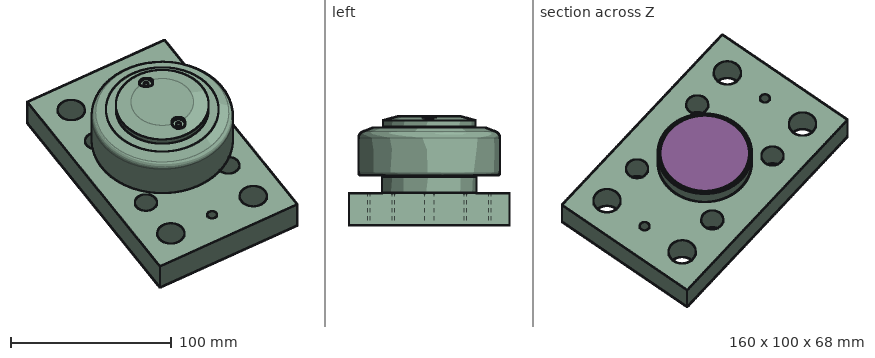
import cadquery as cq
import math

PLATE_LENGTH = 160.0
PLATE_WIDTH = 100.0
PLATE_THICKNESS = 20.0
OVERALL_HEIGHT = 68.0

CORNER_HOLE_DIAMETER = 17.0
INNER_HOLE_DIAMETER = 13.8
PIN_HOLE_DIAMETER = 6.0
CORNER_HOLE_X = 60.0
INNER_HOLE_X = CORNER_HOLE_X / 2
HOLE_ROW_Y = CORNER_HOLE_X / 2

POST_DIAMETER = 59.0
POST_CHAMFER = 0.5
NECK_DIAMETER = 55.5

ROLLER_DIAMETER = 88.5
ROLLER_BOTTOM = 31.0
ROLLER_TOP = 61.0
ROLLER_FLAT_DIAMETER = 70.2
CROWN = 0.2
SHOULDER_ANGLE = math.radians(22)
UPPER_ROUND = 4.2
LOWER_ROUND = 1.6

CAP_DIAMETER = 58.0
CAP_FLAT_DIAMETER = 39.0
CAP_RIM_TOP = 65.5
UNDERCUT_DIAMETER = 55.4
UNDERCUT_HEIGHT = 0.5

SPANNER_HOLE_DIAMETER = 7.8
SPANNER_RIM_DIAMETER = 8.6
SPANNER_RIM_DEPTH = 1.6
SPANNER_HOLE_DEPTH = 2.0
CENTRE_HOLE_DIAMETER = 3.0
CENTRE_HOLE_DEPTH = 0.5


def make_plate():
    plate = cq.Workplane("XY").box(
        PLATE_LENGTH, PLATE_WIDTH, PLATE_THICKNESS, centered=(True, True, False)
    )
    hole_rows = (
        (CORNER_HOLE_DIAMETER, CORNER_HOLE_X, HOLE_ROW_Y),
        (INNER_HOLE_DIAMETER, INNER_HOLE_X, HOLE_ROW_Y),
        (PIN_HOLE_DIAMETER, CORNER_HOLE_X, 0),
    )
    for diameter, x, y in hole_rows:
        points = {(sx * x, sy * y) for sx in (-1, 1) for sy in (-1, 1)}
        plate = plate.faces(">Z").workplane(origin=(0, 0, 0)).pushPoints(sorted(points)).hole(diameter)
    return plate


def make_post():
    height = ROLLER_BOTTOM - PLATE_THICKNESS - POST_CHAMFER
    post = cq.Workplane("XY").workplane(offset=PLATE_THICKNESS).circle(POST_DIAMETER / 2).extrude(height)
    post = post.faces("<Z or >Z").chamfer(POST_CHAMFER)
    neck = cq.Workplane("XY").workplane(offset=PLATE_THICKNESS)
    neck = neck.circle(NECK_DIAMETER / 2).extrude(ROLLER_BOTTOM - PLATE_THICKNESS)
    return post.union(neck)


def make_roller():
    rim_radius = ROLLER_DIAMETER / 2 - CROWN
    flat_radius = ROLLER_FLAT_DIAMETER / 2
    centre_r = rim_radius - UPPER_ROUND
    tangent_r = centre_r + UPPER_ROUND * math.sin(SHOULDER_ANGLE)
    tangent_z = ROLLER_TOP - (tangent_r - flat_radius) * math.tan(SHOULDER_ANGLE)
    rim_top = tangent_z - UPPER_ROUND * math.cos(SHOULDER_ANGLE)
    rim_bottom = ROLLER_BOTTOM + LOWER_ROUND
    mid_angle = (SHOULDER_ANGLE + math.pi / 2) / 2
    upper_mid = (
        centre_r + UPPER_ROUND * math.sin(mid_angle),
        rim_top + UPPER_ROUND * math.cos(mid_angle),
    )
    lower_mid = (
        rim_radius - LOWER_ROUND * (1 - math.sqrt(0.5)),
        rim_bottom - LOWER_ROUND * math.sqrt(0.5),
    )
    profile = (
        cq.Workplane("XZ")
        .moveTo(0, ROLLER_BOTTOM)
        .lineTo(rim_radius - LOWER_ROUND, ROLLER_BOTTOM)
        .threePointArc(lower_mid, (rim_radius, rim_bottom))
        .threePointArc((rim_radius + CROWN, (rim_bottom + rim_top) / 2), (rim_radius, rim_top))
        .threePointArc(upper_mid, (tangent_r, tangent_z))
        .lineTo(flat_radius, ROLLER_TOP)
        .lineTo(0, ROLLER_TOP)
        .close()
    )
    return profile.revolve(360, (0, 0, 0), (0, 1, 0))


def make_cap():
    outline = [
        (0, ROLLER_TOP),
        (UNDERCUT_DIAMETER / 2, ROLLER_TOP),
        (UNDERCUT_DIAMETER / 2, ROLLER_TOP + UNDERCUT_HEIGHT),
        (CAP_DIAMETER / 2, ROLLER_TOP + UNDERCUT_HEIGHT),
        (CAP_DIAMETER / 2, CAP_RIM_TOP),
        (CAP_FLAT_DIAMETER / 2, OVERALL_HEIGHT),
        (0, OVERALL_HEIGHT),
    ]
    return cq.Workplane("XZ").polyline(outline).close().revolve(360, (0, 0, 0), (0, 1, 0))


def blind_holes(diameter, depth):
    centre_x = CAP_FLAT_DIAMETER / 2
    holes = cq.Workplane("XY").workplane(offset=OVERALL_HEIGHT)
    return holes.pushPoints([(-centre_x, 0), (centre_x, 0)]).circle(diameter / 2).extrude(-depth)


result = make_plate().union(make_post()).union(make_roller()).union(make_cap())
result = result.cut(blind_holes(SPANNER_RIM_DIAMETER, SPANNER_RIM_DEPTH))
result = result.cut(blind_holes(SPANNER_HOLE_DIAMETER, SPANNER_HOLE_DEPTH))
result = result.cut(blind_holes(CENTRE_HOLE_DIAMETER, SPANNER_HOLE_DEPTH + CENTRE_HOLE_DEPTH))